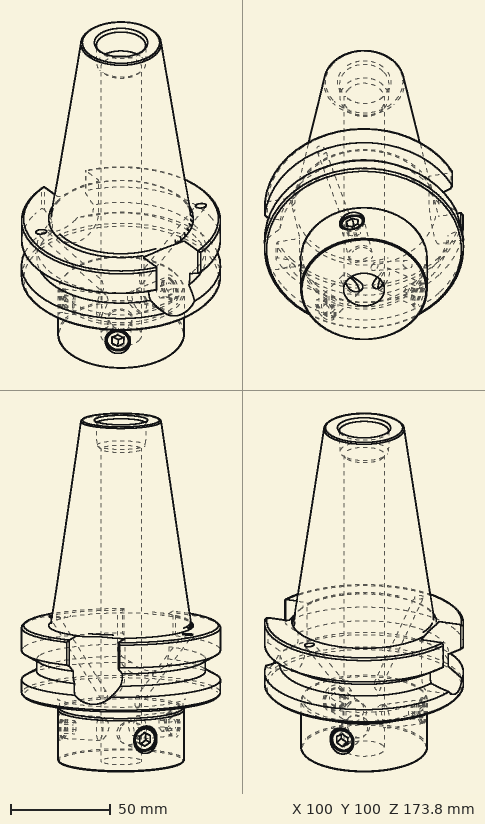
import cadquery as cq
import math

total_height = 173.8

gauge_height = 72.0
gauge_radius = 35.0
shank_length = total_height - gauge_height
taper_ratio = 7 / 24
taper_end_radius = gauge_radius - shank_length * taper_ratio / 2
shank_end_chamfer = 0.7
relief_fillet = 1.4

flange_radius = 100.0 / 2
flange_top = 69.0
flange_bottom = 33.7
flange_chamfer = 1.0
groove_height = 48.8
groove_radius = 42.4
groove_floor_half_width = 3.1
groove_flank_angle = 30
groove_flank_height = (flange_radius - groove_radius) * math.tan(math.radians(groove_flank_angle))
groove_half_width = groove_floor_half_width + groove_flank_height

collar_radius = 63.5 / 2
collar_top = 26.0
collar_bottom_chamfer = 0.5
neck_radius = 31.1
neck_bottom = 27.1
neck_fillet = 4.3

bore_radius = 10.3
socket_radius = 12.3
socket_mouth_radius = 13.4
socket_mouth_depth = 1.5
socket_wall_depth = 9.7
socket_taper_depth = 12.7
socket_taper_radius = 12.2
drill_tip_half_angle = 45
socket_depth = socket_taper_depth + (socket_taper_radius - bore_radius) / math.tan(
    math.radians(drill_tip_half_angle)
)

slot_count = 2
slot_width = 25.7
slot_floor_distance = 35.5
slot_arc_height = 50.2
slot_floor_fillet = 0.7
slot_edge_chamfer = 1.0

coolant_hole_count = 2
coolant_hole_radius = 4.2 / 2
coolant_hole_distance = 41.9
coolant_hole_direction = 70
coolant_hole_slope = 40

screw_directions = (90, 220, 320)
screw_height = 16.0
screw_radius = 12.0 / 2
screw_face_distance = 30.6
screw_tip_distance = 11.3
screw_edge_chamfer = 0.7
screw_hole_mouth_radius = 12.7 / 2
socket_hex_width = 5.9
socket_hex_depth = 6.0

clearance = 1.7


def revolve_about_axis(profile):
    """Turn a profile drawn in the XZ plane around the Z axis."""
    return profile.close().revolve(360, (0, 0, 0), (0, 1, 0))


def repeat_around_axis(shape, count):
    """Copies of a shape, evenly spaced around the Z axis."""
    return [shape.rotate((0, 0, 0), (0, 0, 1), 360 * i / count) for i in range(count)]


def place_radially(shape, direction):
    """Move a shape built along +X at Z = 0 to the screw height, facing the given direction."""
    return shape.rotate((0, 0, 0), (0, 0, 1), direction).translate((0, 0, screw_height))


def turned_blank():
    """Solid of revolution: collar, neck, grooved flange and taper shank."""
    chamfer_end_radius = taper_end_radius + shank_end_chamfer * taper_ratio / 2
    arc_share = 1 - math.cos(math.radians(45))
    neck_arc_offset = neck_fillet * arc_share
    relief_arc_offset = relief_fillet * arc_share
    profile = (
        cq.Workplane("XZ")
        .moveTo(0, 0)
        .lineTo(collar_radius - collar_bottom_chamfer, 0)
        .lineTo(collar_radius, collar_bottom_chamfer)
        .lineTo(collar_radius, collar_top)
        .lineTo(neck_radius, neck_bottom)
        .lineTo(neck_radius, flange_bottom - neck_fillet)
        .threePointArc(
            (neck_radius + neck_arc_offset, flange_bottom - neck_arc_offset),
            (neck_radius + neck_fillet, flange_bottom),
        )
        .lineTo(flange_radius - flange_chamfer, flange_bottom)
        .lineTo(flange_radius, flange_bottom + flange_chamfer)
        .lineTo(flange_radius, groove_height - groove_half_width)
        .lineTo(groove_radius, groove_height - groove_floor_half_width)
        .lineTo(groove_radius, groove_height + groove_floor_half_width)
        .lineTo(flange_radius, groove_height + groove_half_width)
        .lineTo(flange_radius, flange_top - flange_chamfer)
        .lineTo(flange_radius - flange_chamfer, flange_top)
        .lineTo(gauge_radius + relief_fillet, flange_top)
        .threePointArc(
            (gauge_radius + relief_arc_offset, flange_top + relief_arc_offset),
            (gauge_radius, flange_top + relief_fillet),
        )
        .lineTo(gauge_radius, gauge_height)
        .lineTo(chamfer_end_radius, total_height - shank_end_chamfer)
        .lineTo(taper_end_radius - shank_end_chamfer, total_height)
        .lineTo(0, total_height)
    )
    return revolve_about_axis(profile)


def bore_cutter():
    """Through bore with a wider drilled socket at the shank end."""
    profile = (
        cq.Workplane("XZ")
        .moveTo(0, -clearance)
        .lineTo(bore_radius, -clearance)
        .lineTo(bore_radius, total_height - socket_depth)
        .lineTo(socket_taper_radius, total_height - socket_taper_depth)
        .lineTo(socket_radius, total_height - socket_wall_depth)
        .lineTo(socket_radius, total_height - socket_mouth_depth)
        .lineTo(socket_mouth_radius, total_height)
        .lineTo(socket_mouth_radius, total_height + clearance)
        .lineTo(0, total_height + clearance)
    )
    return revolve_about_axis(profile)


def drive_slot_cutter():
    """Round-bottomed slot on the +X side, with a filleted floor and chamfered outer edges."""
    half_width = slot_width / 2
    slot_top = gauge_height + clearance
    slot = (
        cq.Workplane("YZ", origin=(slot_floor_distance, 0, 0))
        .moveTo(-half_width, slot_top)
        .lineTo(-half_width, slot_arc_height)
        .threePointArc((0, slot_arc_height - half_width), (half_width, slot_arc_height))
        .lineTo(half_width, slot_top)
        .close()
        .extrude(flange_radius - slot_floor_distance + clearance)
        .faces("<X")
        .edges("not >Z")
        .fillet(slot_floor_fillet)
    )
    chamfer_half_width = half_width + slot_edge_chamfer
    chamfer_outer_x = math.sqrt(flange_radius**2 - chamfer_half_width**2)
    chamfer_inner_x = chamfer_outer_x - chamfer_half_width
    far_x = flange_radius + clearance
    edge_chamfer = (
        cq.Workplane("XY", origin=(0, 0, slot_arc_height))
        .polyline(
            [
                (chamfer_inner_x + half_width, half_width),
                (far_x, far_x - chamfer_inner_x),
                (far_x, chamfer_inner_x - far_x),
                (chamfer_inner_x + half_width, -half_width),
            ]
        )
        .close()
        .extrude(slot_top - slot_arc_height)
    )
    return slot.union(edge_chamfer)


def coolant_hole_cutter():
    """Hole sloping down and inward from the flange's top face to the bore."""
    slope = math.radians(coolant_hole_slope)
    inward = cq.Vector(-math.sin(slope), 0, -math.cos(slope))
    mouth = cq.Vector(coolant_hole_distance, 0, flange_top)
    lead = 2 * coolant_hole_radius
    length = (coolant_hole_distance - bore_radius) / math.sin(slope) + lead
    hole = cq.Solid.makeCylinder(
        coolant_hole_radius, length + lead, mouth - inward * lead, inward
    )
    return cq.Workplane(hole).rotate((0, 0, 0), (0, 0, 1), coolant_hole_direction)


def screw_hole_cutter(direction):
    """Radial hole from the collar's outside to the bore, with a countersunk outer end."""
    hole_length = collar_radius + clearance
    hole = cq.Workplane("YZ").circle(screw_radius).extrude(hole_length)
    countersink_depth = screw_hole_mouth_radius - screw_radius
    mouth_distance = math.sqrt(collar_radius**2 - screw_hole_mouth_radius**2)
    countersink_start = mouth_distance - countersink_depth
    cone_length = hole_length - countersink_start
    countersink = cq.Workplane(
        cq.Solid.makeCone(
            screw_radius,
            screw_radius + cone_length,
            cone_length,
            cq.Vector(countersink_start, 0, 0),
            cq.Vector(1, 0, 0),
        )
    )
    return place_radially(hole.union(countersink), direction)


def make_holder():
    body = turned_blank().cut(bore_cutter())
    for slot in repeat_around_axis(drive_slot_cutter(), slot_count):
        body = body.cut(slot)
    for hole in repeat_around_axis(coolant_hole_cutter(), coolant_hole_count):
        body = body.cut(hole)
    for direction in screw_directions:
        body = body.cut(screw_hole_cutter(direction))
    return body


def make_screw(direction):
    """Headless screw with a chamfered outer edge and a hexagon socket, one corner pointing up."""
    hex_corner_diameter = socket_hex_width / math.cos(math.radians(30))
    screw = (
        cq.Workplane("YZ", origin=(screw_tip_distance, 0, 0))
        .circle(screw_radius)
        .extrude(screw_face_distance - screw_tip_distance)
        .faces(">X")
        .chamfer(screw_edge_chamfer)
    )
    hex_socket = (
        cq.Workplane("YZ", origin=(screw_face_distance - socket_hex_depth, 0, 0))
        .polygon(6, hex_corner_diameter)
        .extrude(socket_hex_depth)
        .rotate((0, 0, 0), (1, 0, 0), 90)
    )
    return place_radially(screw.cut(hex_socket), direction)


holder = make_holder()
screws = [make_screw(direction) for direction in screw_directions]

result = cq.Compound.makeCompound([holder.val(), *[screw.val() for screw in screws]])